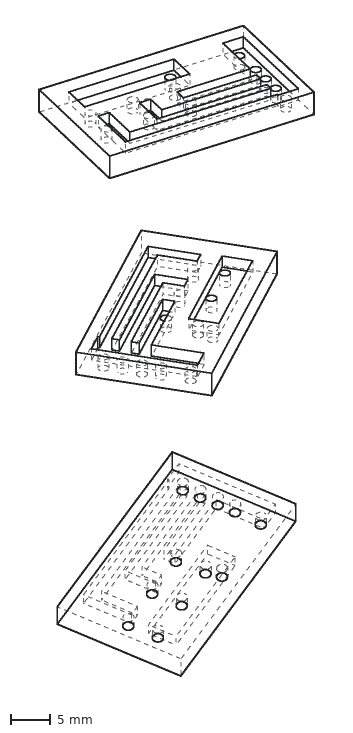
import cadquery as cq

WIDTH = 18.0
LENGTH = 30.0
THICKNESS = 3.4
RECESS_DEPTH = 1.68
HOLE_DIAMETER = 1.4

HEADER_LEFT, HEADER_RIGHT = -6.72, 7.32
HEADER_BOTTOM, HEADER_TOP = 10.68, 13.68

POCKET_LEFT, POCKET_RIGHT = -6.6, -2.58
POCKET_BOTTOM, POCKET_TOP = -12.0, 3.42

CHANNEL_WIDTH = 1.62
SHORT_LEFT = 0.25
SHORT_END = -0.05
MIDDLE_LEFT, MIDDLE_RIGHT = 2.9, 4.47
MIDDLE_FOOT_LEFT = 0.05
MIDDLE_END = -5.45
LONG_LEFT, LONG_RIGHT = 5.5, 7.1
LONG_FOOT_LEFT = 0.15
LONG_END = -11.58
LONG_TAPER = 0.1

HEADER_PIN_X = [-1.53, 1.0, 3.55, 6.1]
HEADER_PIN_Y = 12.5
COMMON_X = -5.4
COMMON_HEADER_Y = 12.3
COMMON_POCKET_Y = 2.2
ROW_PITCH = 6.2
ROW_COUNT = 3
POCKET_ROW_X, POCKET_ROW_TOP = -3.3, 1.65
CHANNEL_ROW_X, CHANNEL_ROW_TOP = 0.95, 1.55


def recess(points):
    """Cutter for a closed outline sunk from the top face."""
    floor = THICKNESS - RECESS_DEPTH
    return cq.Workplane("XY").workplane(offset=floor).polyline(points).close().extrude(RECESS_DEPTH)


def rectangle(left, right, bottom, top):
    return recess([(left, bottom), (right, bottom), (right, top), (left, top)])


def bent_channel(left, right, foot_left, end, taper=0.0):
    """L-shaped channel: a leg from the header and a foot turning towards -X."""
    foot_top = end + CHANNEL_WIDTH
    return recess([
        (left, HEADER_BOTTOM),
        (left - taper, foot_top),
        (foot_left, foot_top),
        (foot_left, end),
        (right, end),
        (right, HEADER_BOTTOM),
    ])


def hole_positions():
    positions = [(x, HEADER_PIN_Y) for x in HEADER_PIN_X]
    positions += [(COMMON_X, COMMON_HEADER_Y), (COMMON_X, COMMON_POCKET_Y)]
    for row in range(ROW_COUNT):
        drop = row * ROW_PITCH
        positions.append((POCKET_ROW_X, POCKET_ROW_TOP - drop))
        positions.append((CHANNEL_ROW_X, CHANNEL_ROW_TOP - drop))
    return positions


plate = cq.Workplane("XY").box(WIDTH, LENGTH, THICKNESS, centered=(True, True, False))

recesses = [
    rectangle(HEADER_LEFT, HEADER_RIGHT, HEADER_BOTTOM, HEADER_TOP),
    rectangle(POCKET_LEFT, POCKET_RIGHT, POCKET_BOTTOM, POCKET_TOP),
    rectangle(SHORT_LEFT, SHORT_LEFT + CHANNEL_WIDTH, SHORT_END, HEADER_BOTTOM),
    bent_channel(MIDDLE_LEFT, MIDDLE_RIGHT, MIDDLE_FOOT_LEFT, MIDDLE_END),
    bent_channel(LONG_LEFT, LONG_RIGHT, LONG_FOOT_LEFT, LONG_END, LONG_TAPER),
]
for cutter in recesses:
    plate = plate.cut(cutter)

holes = cq.Workplane("XY").pushPoints(hole_positions()).circle(HOLE_DIAMETER / 2).extrude(THICKNESS)
result = plate.cut(holes)